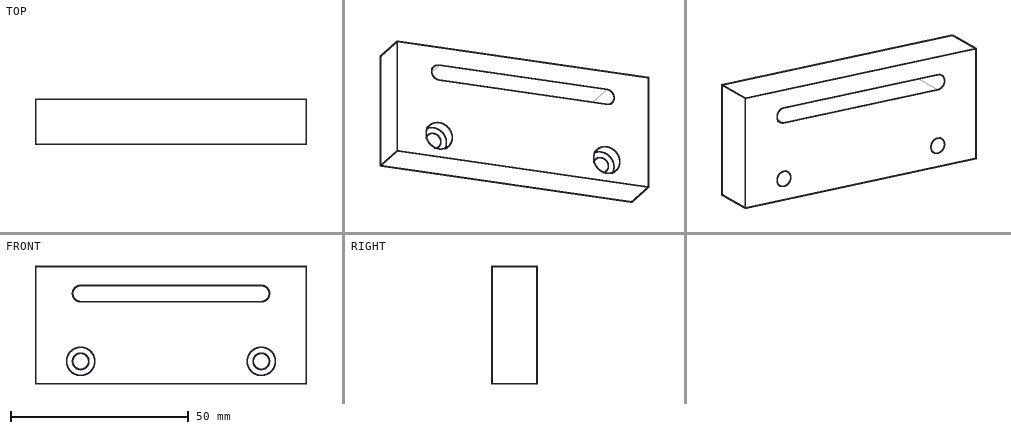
import cadquery as cq

length = 76.2
thickness = 12.7
height = 33.02

clearance = 4.4958
center_spacing = 50.8
hole_height = 6.35
slot_height = 25.4

counterbore_diameter = 7.9375
counterbore_depth = 4.318


def make_block():
    """Plain block with one corner at the origin."""
    return cq.Workplane("XY").box(length, thickness, height, centered=False)


def on_front_face(part, z):
    """Front-face sketch plane, centred along X at height z."""
    return part.faces("<Y").workplane(origin=(length / 2, 0, z))


def cut_slot(part):
    """Through slot with round ends."""
    slot_length = center_spacing + clearance
    return on_front_face(part, slot_height).slot2D(slot_length, clearance).cutThruAll()


def cut_screw_holes(part):
    """Two counterbored through holes below the slot ends."""
    half_spacing = center_spacing / 2
    centers = [(-half_spacing, 0), (half_spacing, 0)]
    return (
        on_front_face(part, hole_height)
        .pushPoints(centers)
        .cboreHole(clearance, counterbore_diameter, counterbore_depth)
    )


result = cut_screw_holes(cut_slot(make_block()))